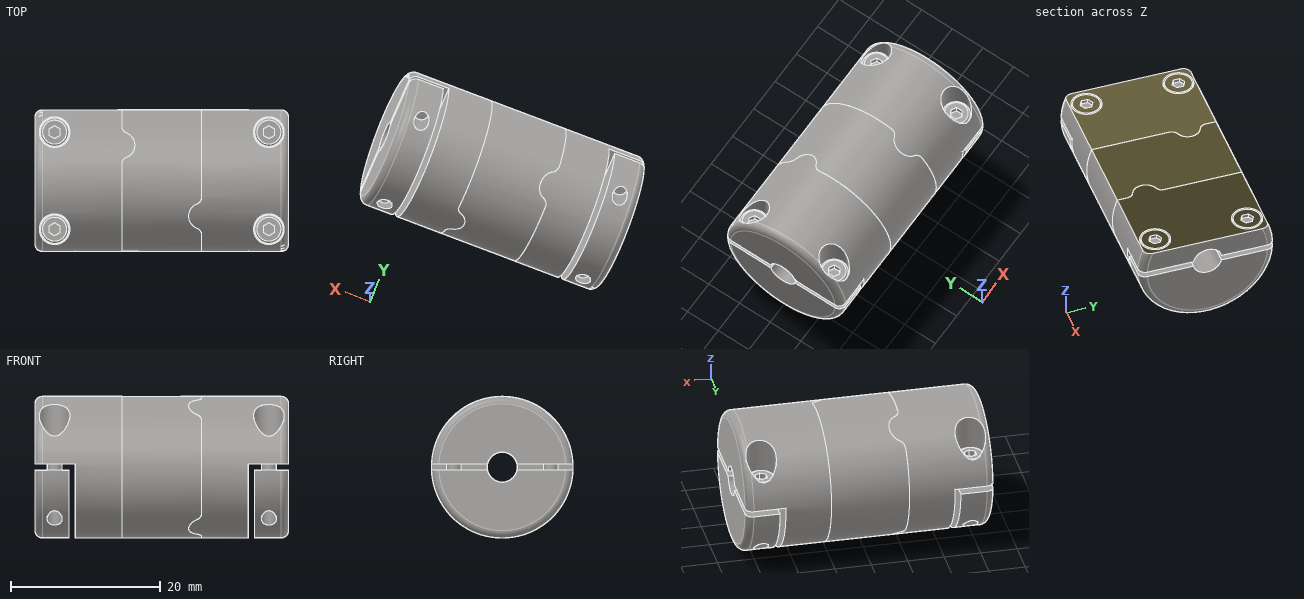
import cadquery as cq
import math


total_length = 34.0
outer_diameter = 19.0
outer_radius = outer_diameter / 2
bore_diameter = 4.0
end_fillet = 1.0
sleeve_length = 10.7
seam_x = sleeve_length / 2
end_x = total_length / 2

ridge_offset_y = outer_radius / 2
ridge_tip_radius = 1.75
ridge_root_radius = 1.0

slot_width = 0.8
clamp_length = 4.6

screw_from_end = 2.65
screw_offset_y = 6.5
shank_diameter = 2.0
screw_length = 6.0
head_diameter = 3.8
head_height = 2.0
head_chamfer = 0.3
head_seat_z = 2.0
counterbore_diameter = 4.1
socket_across_flats = 1.5
socket_depth = 1.0
tapped_hole_diameter = 2.0
screw_x = end_x - screw_from_end


def cylinder_x(diameter, x_start, x_end):
    """Solid cylinder on the X axis between two X positions."""
    return cq.Workplane("YZ", origin=(x_start, 0, 0)).circle(diameter / 2).extrude(x_end - x_start)


def cylinder_z(diameter, x, y, z_start, z_end):
    """Solid cylinder parallel to Z between two Z positions."""
    return cq.Workplane("XY", origin=(x, y, z_start)).circle(diameter / 2).extrude(z_end - z_start)


def make_ridge():
    """Half-round ridge on the right seam, pointing to -X, blended into the hub face by two root arcs."""
    center_distance = ridge_tip_radius + ridge_root_radius
    half_width = math.sqrt(center_distance**2 - ridge_root_radius**2)
    tangent_y = half_width * ridge_tip_radius / center_distance
    tangent_x = ridge_root_radius * ridge_tip_radius / center_distance
    root_half_angle = math.acos(ridge_root_radius / center_distance) / 2
    root_mid_y = half_width - ridge_root_radius * math.sin(root_half_angle)
    root_mid_x = ridge_root_radius * (1 - math.cos(root_half_angle))
    return (
        cq.Workplane("XY", origin=(seam_x, -ridge_offset_y, -outer_radius))
        .moveTo(0, -half_width)
        .threePointArc((-root_mid_x, -root_mid_y), (-tangent_x, -tangent_y))
        .threePointArc((-ridge_tip_radius, 0), (-tangent_x, tangent_y))
        .threePointArc((-root_mid_x, root_mid_y), (0, half_width))
        .close()
        .extrude(outer_diameter)
    )


def cut_clamp_slots(hub):
    """Cut a level slot from the end face and a cross slot below it that frees the lower clamp block."""
    slot_length = clamp_length + slot_width
    level_slot = cq.Workplane("XY").box(slot_length, outer_diameter, slot_width)
    level_slot = level_slot.translate((end_x - slot_length / 2, 0, 0))
    cross_slot = cq.Workplane("XY").box(slot_width, outer_diameter, outer_radius)
    cross_slot = cross_slot.translate((end_x - clamp_length - slot_width / 2, 0, -outer_radius / 2))
    return hub.cut(level_slot).cut(cross_slot)


def make_screw(y):
    """Socket head screw, head up, joining the two halves of the clamp."""
    head_top_z = head_seat_z + head_height
    head = cylinder_z(head_diameter, screw_x, y, head_seat_z, head_top_z).faces(">Z").chamfer(head_chamfer)
    socket_across_corners = socket_across_flats / math.cos(math.pi / 6)
    socket = (
        cq.Workplane("XY", origin=(screw_x, y, head_top_z))
        .transformed(rotate=(0, 0, 30))
        .polygon(6, socket_across_corners)
        .extrude(-socket_depth)
    )
    shank = cylinder_z(shank_diameter, screw_x, y, head_seat_z - screw_length, head_seat_z)
    return head.cut(socket).union(shank)


def make_right_hub():
    """Hub on the +X side, one solid with its two clamp screws."""
    hub = cylinder_x(outer_diameter, seam_x, end_x).faces(">X").edges().fillet(end_fillet)
    envelope = cylinder_x(outer_diameter, 0, end_x)
    hub = hub.union(make_ridge().intersect(envelope))
    hub = hub.cut(cylinder_x(bore_diameter, 0, end_x))
    hub = cut_clamp_slots(hub)
    for y in (-screw_offset_y, screw_offset_y):
        hub = hub.cut(cylinder_z(counterbore_diameter, screw_x, y, head_seat_z, outer_radius))
        hub = hub.cut(cylinder_z(tapped_hole_diameter, screw_x, y, -outer_radius, head_seat_z))
        hub = hub.union(make_screw(y))
    return hub


def make_sleeve(hubs):
    """Rubber sleeve filling the space between the hubs, grooved by the hub ridges."""
    sleeve = cylinder_x(outer_diameter, -seam_x, seam_x).cut(cylinder_x(bore_diameter, -seam_x, seam_x))
    for hub in hubs:
        sleeve = sleeve.cut(hub)
    return sleeve


right_hub = make_right_hub()
left_hub = right_hub.rotate((0, 0, 0), (0, 0, 1), 180)
sleeve = make_sleeve([left_hub, right_hub])

result = cq.Compound.makeCompound([left_hub.val(), sleeve.val(), right_hub.val()])